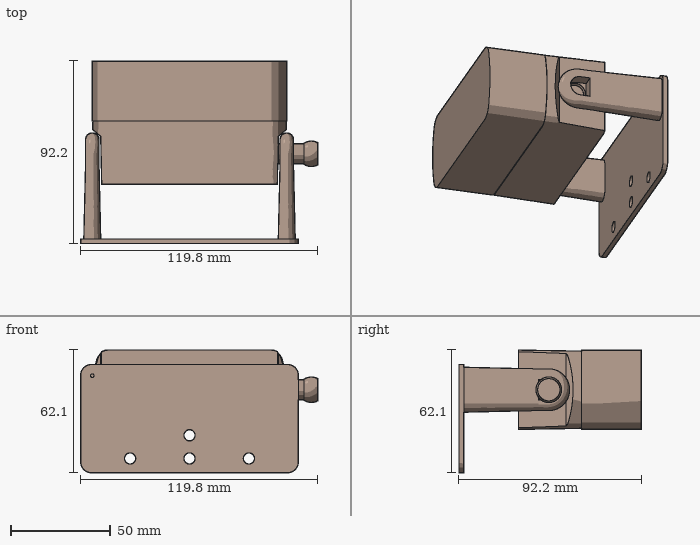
import cadquery as cq
import math


plate_width = 110.0
plate_height = 54.8
plate_thickness = 2.5
plate_bottom = -42.0
plate_corner_radius = 5.5
mount_hole_diameter = 5.5
mount_hole_pitch = 30.0
mount_hole_edge = 7.3
mount_hole_rise = 11.7
pilot_hole_diameter = 1.8

arm_offset = 49.1
arm_flat_half_height = 7.1
arm_tip_radius = 3.45
arm_draft = 1.35
pivot_y = 45.4
pivot_radius = 5.1

case_back_y = 30.0
rear_depth = 32.0
front_depth = 30.2
seam_y = case_back_y + rear_depth
case_front_y = seam_y + front_depth
front_half_width = 49.3
front_half_height = 20.0
front_corner_radius = 7.2
seam_step = 0.45
rear_corner_radius = 5.0
rear_draft = 0.97

flat_back_half_width = 44.4
flat_front_half_width = 44.9
flat_front_y = 54.2
ramp_end_y = 57.6

seat_mouth_x = 45.0
seat_depth = 1.5
seat_bottom_radius = 4.4

knob_ball_radius = 6.5
knob_ball_x = 61.5
knob_inner_x = 57.7
knob_outer_x = 64.76


def case_outline(half_width, half_height, corner_radius, y):
    """Closed outline at the given Y: flat top and bottom, sides on one circle about the Y axis, round corners."""
    corner_z = half_height - corner_radius
    corner_x = math.sqrt((half_width - corner_radius) ** 2 - corner_z ** 2)
    side_angle = math.atan2(corner_z, corner_x)
    middle_angle = (side_angle + math.pi / 2) / 2
    side_x = half_width * math.cos(side_angle)
    side_z = half_width * math.sin(side_angle)
    middle_x = corner_x + corner_radius * math.cos(middle_angle)
    middle_z = corner_z + corner_radius * math.sin(middle_angle)
    return (
        cq.Workplane("XZ", origin=(0, y, 0))
        .moveTo(-corner_x, half_height)
        .lineTo(corner_x, half_height)
        .threePointArc((middle_x, middle_z), (side_x, side_z))
        .threePointArc((half_width, 0), (side_x, -side_z))
        .threePointArc((middle_x, -middle_z), (corner_x, -half_height))
        .lineTo(-corner_x, -half_height)
        .threePointArc((-middle_x, -middle_z), (-side_x, -side_z))
        .threePointArc((-half_width, 0), (-side_x, side_z))
        .threePointArc((-middle_x, middle_z), (-corner_x, half_height))
        .close()
    )


def make_front_case():
    outline = case_outline(front_half_width, front_half_height, front_corner_radius, case_front_y)
    return outline.extrude(front_depth)


def make_seat():
    """Conical plug that fills the seat on the +X side."""
    return (
        cq.Workplane("XY", origin=(0, pivot_y, 0))
        .moveTo(seat_mouth_x - seat_depth, 0)
        .lineTo(seat_mouth_x - seat_depth, seat_bottom_radius)
        .lineTo(seat_mouth_x, pivot_radius)
        .lineTo(seat_mouth_x, 0)
        .close()
        .revolve(360, (0, 0, 0), (1, 0, 0))
    )


def make_side_cut():
    """Space removed beside the +X arm: drafted flat followed by a ramp."""
    rear_half_width = front_half_width - seam_step
    ramp_slope = (rear_half_width - flat_front_half_width) / (ramp_end_y - flat_front_y)
    flat_slope = (flat_front_half_width - flat_back_half_width) / (flat_front_y - case_back_y)
    margin = 2.0
    outer_x = rear_half_width + margin
    ramp_top_y = ramp_end_y + margin / ramp_slope
    back_y = case_back_y - margin
    return (
        cq.Workplane("XY")
        .moveTo(flat_back_half_width - margin * flat_slope, back_y)
        .lineTo(flat_front_half_width, flat_front_y)
        .lineTo(outer_x, ramp_top_y)
        .lineTo(outer_x, back_y)
        .close()
        .extrude(front_half_height + margin, both=True)
    )


def make_rear_case():
    half_width = front_half_width - seam_step
    half_height = front_half_height - seam_step
    body = case_outline(half_width, half_height, rear_corner_radius, seam_y)
    body = body.extrude(rear_depth, taper=-rear_draft)
    for cutter in (make_side_cut(), make_seat()):
        body = body.cut(cutter).cut(cutter.mirror("YZ"))
    return body


def make_plate():
    plate = (
        cq.Workplane("XZ", origin=(0, plate_thickness, plate_bottom + plate_height / 2))
        .rect(plate_width, plate_height)
        .extrude(plate_thickness)
        .edges("|Y")
        .fillet(plate_corner_radius)
    )
    lower_row_z = plate_bottom + mount_hole_edge
    mount_holes = [(side * mount_hole_pitch, lower_row_z) for side in (-1, 0, 1)]
    mount_holes.append((0, lower_row_z + mount_hole_rise))
    holes = cq.Workplane("XZ", origin=(0, plate_thickness, 0))
    plate = plate.cut(holes.pushPoints(mount_holes).circle(mount_hole_diameter / 2).extrude(plate_thickness))
    pilot = holes.center(-arm_offset, arm_flat_half_height).circle(pilot_hole_diameter / 2)
    return plate.cut(pilot.extrude(plate_thickness))


def make_arm(x):
    slot_length = 2 * (arm_flat_half_height + arm_tip_radius)
    shank_top_y = pivot_y - pivot_radius

    def slot_at(y):
        return cq.Workplane("XZ", origin=(x, y, 0)).slot2D(slot_length, 2 * arm_tip_radius, 90)

    neck = slot_at(pivot_y).extrude(pivot_radius)
    shank = slot_at(shank_top_y).extrude(shank_top_y - plate_thickness, taper=-arm_draft)
    head = (
        cq.Workplane("XZ", origin=(x, pivot_y, 0))
        .moveTo(-arm_tip_radius, 0)
        .lineTo(-arm_tip_radius, arm_flat_half_height)
        .threePointArc((0, slot_length / 2), (arm_tip_radius, arm_flat_half_height))
        .lineTo(arm_tip_radius, 0)
        .close()
        .revolve(180, (0, 0, 0), (-1, 0, 0))
    )
    window = (
        cq.Workplane("YZ", origin=(x, pivot_y, 0))
        .moveTo(-pivot_radius, pivot_radius)
        .lineTo(0, pivot_radius)
        .threePointArc((pivot_radius, 0), (0, -pivot_radius))
        .lineTo(-pivot_radius, -pivot_radius)
        .close()
        .extrude(2 * arm_tip_radius, both=True)
    )
    return shank.union(neck).union(head).cut(window)


def make_spindle():
    rod = (
        cq.Workplane("YZ", origin=(seat_mouth_x, pivot_y, 0))
        .circle(pivot_radius)
        .extrude(knob_inner_x - seat_mouth_x)
    )
    return rod.union(make_seat())


def make_knob():
    """Ball cut flat on both sides."""
    def ball_radius_at(x):
        return math.sqrt(knob_ball_radius ** 2 - (x - knob_ball_x) ** 2)

    return (
        cq.Workplane("XY", origin=(0, pivot_y, 0))
        .moveTo(knob_inner_x, 0)
        .lineTo(knob_inner_x, ball_radius_at(knob_inner_x))
        .threePointArc((knob_ball_x, knob_ball_radius), (knob_outer_x, ball_radius_at(knob_outer_x)))
        .lineTo(knob_outer_x, 0)
        .close()
        .revolve(360, (0, 0, 0), (1, 0, 0))
    )


front_case = make_front_case()
rear_case = make_rear_case()
plate = make_plate()
arms = [make_arm(side * arm_offset) for side in (-1, 1)]
spindle = make_spindle()
knob = make_knob()

result = cq.Compound.makeCompound([
    front_case.val(),
    rear_case.val(),
    plate.val(),
    *[arm.val() for arm in arms],
    spindle.val(),
    knob.val(),
])